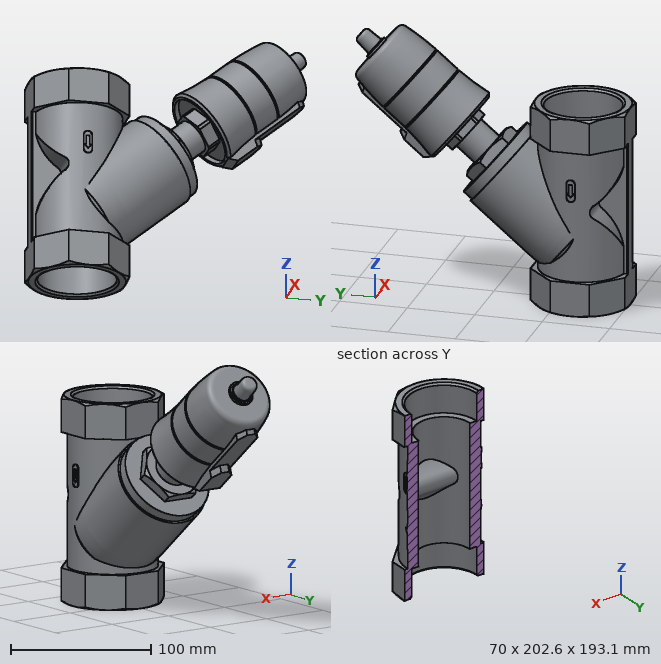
import cadquery as cq
import math

JOIN_OVERLAP = 1.0

ARC_MIDDLE = math.sqrt(0.5)

BODY_LENGTH = 150.0
BODY_RADIUS = 32.5
NUT_ACROSS_FLATS = 70.0
NUT_LENGTH = 25.6
NUT_SIDES = 8
NUT_CHAMFER_RADIUS = 34.8
CHAMFER_ANGLE = math.radians(30)
BORE_RADIUS = 22.5
THREAD_RADIUS = 56.66 / 2
THREAD_DEPTH = 24.0
THREAD_CHAMFER = 1.6

RIB_WIDTH = 12.6
RIB_CHAMFER = 1.0
NOTCH_WALL = 2.6
NOTCH_TOP = (-31.9, 32.8)
NOTCH_TOP_MIDDLE = (-25.0, 17.3)
NOTCH_TOP_INNER = (-15.7, 8.2)
NOTCH_FLOOR = -13.0
NOTCH_BOTTOM_INNER = (-14.9, -0.6)
NOTCH_BOTTOM_MIDDLE = (-25.3, -12.0)
NOTCH_BOTTOM = (-31.9, -29.0)

PAD_WIDTH = 6.3
PAD_LENGTH = 16.7
PAD_HEIGHT_Z = 19.7
PAD_FACE = 33.1
ARROW_DEPTH = 0.3
ARROW_LENGTH = 9.6
ARROW_SHAFT_WIDTH = 2.4
ARROW_HEAD_WIDTH = 5.4
ARROW_HEAD_LENGTH = 3.0

AXIS_CROSSING_Z = -27.6
AXIS_ELEVATION = 40.0

BONNET_RADIUS = 35.0
BONNET_END = 2.4
BONNET_END_RADIUS = 31.8
BONNET_SHOULDER = 5.5
BONNET_SHOULDER_RADIUS = 33.8
BONNET_CURVE_RADIUS = 34.65
BONNET_CURVE_START = 21.0
BONNET_TOP = 77.0
CAP_RADIUS = 33.5
CAP_TOP = 85.0
CAP_HEX_FLATS = 41.0
CAP_HEX_TOP = 93.0
SHAFT_RADIUS = 13.0
COLLAR_BOTTOM = 111.0
COLLAR_FLATS = 30.6
COLLAR_CORNER_RADIUS = 17.0
HEX_SIDES = 6

HOUSING_BOTTOM = 117.4
RIM_TOP = 119.3
RIM_RADIUS = 30.8
RIM_BOTTOM_RADIUS = 29.0
BAND_RADIUS = 28.0
LOWER_GROOVE = 146.4
UPPER_GROOVE = 167.6
GROOVE_WIDTH = 1.2
GROOVE_DEPTH = 0.4
SKIRT_SAG = 0.5
CROWN_BULGE = 0.5
CROWN_EDGE = 195.0
CROWN_EDGE_RADIUS = 25.5
HOUSING_TOP = 199.0
CROWN_FLAT_RADIUS = 20.8
RECESS_RADIUS = 27.0
RECESS_DEPTH = 4.0

INDICATOR_COLLAR_RADIUS = 18.2 / 2
INDICATOR_COLLAR_HEIGHT = 2.0
INDICATOR_STEP_RADIUS = 7.6
INDICATOR_STEP_HEIGHT = 2.6
INDICATOR_BASE_RADIUS = 6.8
INDICATOR_EDGE_RADIUS = 6.1
INDICATOR_EDGE = 212.5
INDICATOR_TOP = 215.2
INDICATOR_TOP_RADIUS = 3.2

PILOT_HALF_WIDTH = 9.0
PILOT_BLOCK_REACH = 34.3
PILOT_BLOCK_CORNER = 122.6
PILOT_BLOCK_FOOT_REACH = 28.9
PILOT_BLOCK_TOP = 146.9
PILOT_PLATE_REACH = 29.3
PILOT_PLATE_TOP = 191.6
PILOT_ROOT_REACH = 22.0
PILOT_END_SLOPE = 0.4
PILOT_CORNER_CUT = 5.5


def circumdiameter(across_flats, sides):
    return across_flats / math.cos(math.pi / sides)


def prism(sides, across_flats, bottom, top, turn=0.0):
    """Regular prism along Z; with no turn a corner points along X."""
    outline = cq.Workplane("XY").workplane(offset=bottom)
    outline = outline.polygon(sides, circumdiameter(across_flats, sides))
    return outline.extrude(top - bottom).rotate((0, 0, 0), (0, 0, 1), turn)


def cylinder(radius, bottom, top):
    return cq.Workplane("XY").workplane(offset=bottom).circle(radius).extrude(top - bottom)


def chamfer_cone(end_radius, outer_radius, bottom, top):
    """Round blank whose top edge is bevelled, used to break prism corners."""
    drop = (outer_radius - end_radius) * math.tan(CHAMFER_ANGLE)
    return (
        cq.Workplane("XZ")
        .moveTo(0, bottom)
        .lineTo(outer_radius, bottom)
        .lineTo(outer_radius, top - drop)
        .lineTo(end_radius, top)
        .lineTo(0, top)
        .close()
        .revolve(360, (0, 0), (0, 1))
    )


def chamfered_nut(sides, across_flats, end_radius, bottom, top, turn=0.0):
    corner_radius = circumdiameter(across_flats, sides) / 2
    blank = prism(sides, across_flats, bottom, top, turn)
    return blank.intersect(chamfer_cone(end_radius, corner_radius, bottom, top))


def notch_profile():
    """Closed notch outline in the YZ plane, open side beyond the body."""
    outside = -NUT_ACROSS_FLATS
    return (
        cq.Workplane("YZ")
        .workplane(offset=-NUT_ACROSS_FLATS)
        .moveTo(outside, NOTCH_TOP[1])
        .lineTo(*NOTCH_TOP)
        .threePointArc(NOTCH_TOP_MIDDLE, NOTCH_TOP_INNER)
        .tangentArcPoint(NOTCH_BOTTOM_INNER, relative=False)
        .threePointArc(NOTCH_BOTTOM_MIDDLE, NOTCH_BOTTOM)
        .lineTo(outside, NOTCH_BOTTOM[1])
        .close()
    )


def pipe_body():
    half = BODY_LENGTH / 2
    flat_turn = 180 / NUT_SIDES
    nut = chamfered_nut(
        NUT_SIDES, NUT_ACROSS_FLATS, NUT_CHAMFER_RADIUS, half - NUT_LENGTH, half, flat_turn
    )
    tube = cylinder(BODY_RADIUS, JOIN_OVERLAP - half, half - JOIN_OVERLAP)
    return tube.union(nut).union(nut.mirror("XY"))


def notch():
    """Notch cut across the full width of the body."""
    return notch_profile().extrude(2 * NUT_ACROSS_FLATS)


def rib():
    depth = NUT_ACROSS_FLATS / 2 + NOTCH_FLOOR
    length = BODY_LENGTH - 2 * NUT_LENGTH
    centre_y = -NUT_ACROSS_FLATS / 2 + depth / 2
    bar = cq.Workplane("XY").box(RIB_WIDTH, depth, length)
    bar = bar.faces("<Y").edges("|Z").chamfer(RIB_CHAMFER)
    return bar.translate((0, centre_y, 0))


def flow_pads():
    """Oval pad on each side with an engraved arrow pointing down the pipe."""
    pad = (
        cq.Workplane("YZ", origin=(-PAD_FACE, 0, PAD_HEIGHT_Z))
        .slot2D(PAD_LENGTH, PAD_WIDTH, 90)
        .extrude(PAD_FACE - BORE_RADIUS - NOTCH_WALL)
    )
    half_arrow = ARROW_LENGTH / 2
    neck = -half_arrow + ARROW_HEAD_LENGTH
    arrow = (
        cq.Workplane("YZ", origin=(-PAD_FACE, 0, PAD_HEIGHT_Z))
        .moveTo(-ARROW_SHAFT_WIDTH / 2, half_arrow)
        .lineTo(ARROW_SHAFT_WIDTH / 2, half_arrow)
        .lineTo(ARROW_SHAFT_WIDTH / 2, neck)
        .lineTo(ARROW_HEAD_WIDTH / 2, neck)
        .lineTo(0, -half_arrow)
        .lineTo(-ARROW_HEAD_WIDTH / 2, neck)
        .lineTo(-ARROW_SHAFT_WIDTH / 2, neck)
        .close()
        .extrude(ARROW_DEPTH)
    )
    pad = pad.cut(arrow)
    return pad.union(pad.mirror("YZ"))


def thread_bore():
    """Counterbore for the pipe thread at the +Z end, with a lead-in chamfer."""
    half = BODY_LENGTH / 2
    hole = cylinder(THREAD_RADIUS, half - THREAD_DEPTH, half)
    lead_in = cq.Solid.makeCone(
        THREAD_RADIUS,
        THREAD_RADIUS + THREAD_CHAMFER,
        THREAD_CHAMFER,
        cq.Vector(0, 0, half - THREAD_CHAMFER),
    )
    return hole.union(cq.Workplane(lead_in))


def flow_passage():
    """Through bore that leaves a wall of even thickness around the notch."""
    half = BODY_LENGTH / 2
    notch_shell = notch_profile().offset2D(NOTCH_WALL).extrude(2 * NUT_ACROSS_FLATS)
    bore = cylinder(BORE_RADIUS, -half, half).cut(notch_shell)
    thread = thread_bore()
    return bore.union(thread).union(thread.mirror("XY"))


def bonnet():
    """Round branch, its cap and the shaft, along local Z."""
    collar_top = HOUSING_BOTTOM + RECESS_DEPTH + JOIN_OVERLAP
    curve_middle = (BONNET_CURVE_RADIUS, (BONNET_CURVE_START + BONNET_SHOULDER) / 2)
    turned = (
        cq.Workplane("XZ")
        .moveTo(0, BONNET_END)
        .lineTo(BONNET_END_RADIUS, BONNET_END)
        .lineTo(BONNET_SHOULDER_RADIUS, BONNET_SHOULDER)
        .threePointArc(curve_middle, (BONNET_RADIUS, BONNET_CURVE_START))
        .lineTo(BONNET_RADIUS, BONNET_TOP)
        .lineTo(CAP_RADIUS, BONNET_TOP)
        .lineTo(CAP_RADIUS, CAP_TOP)
        .lineTo(SHAFT_RADIUS, CAP_TOP)
        .lineTo(SHAFT_RADIUS, collar_top)
        .lineTo(0, collar_top)
        .close()
        .revolve(360, (0, 0), (0, 1))
    )
    cap_hex = chamfered_nut(HEX_SIDES, CAP_HEX_FLATS, CAP_HEX_FLATS / 2, CAP_TOP, CAP_HEX_TOP)
    collar = prism(HEX_SIDES, COLLAR_FLATS, COLLAR_BOTTOM, collar_top)
    collar = collar.intersect(cylinder(COLLAR_CORNER_RADIUS, COLLAR_BOTTOM, collar_top))
    return turned.union(cap_hex).union(collar)


def ring_groove(station):
    bottom = station - GROOVE_WIDTH / 2
    top = station + GROOVE_WIDTH / 2
    outer = cylinder(RIM_RADIUS, bottom, top)
    return outer.cut(cylinder(BAND_RADIUS - GROOVE_DEPTH, bottom, top))


def housing():
    """Actuator housing: flared skirt, straight band and domed crown."""
    skirt_middle = (
        (RIM_RADIUS + BAND_RADIUS) / 2 - SKIRT_SAG,
        (RIM_TOP + LOWER_GROOVE) / 2,
    )
    crown_middle = (
        (BAND_RADIUS + CROWN_EDGE_RADIUS) / 2 + CROWN_BULGE,
        (UPPER_GROOVE + CROWN_EDGE) / 2,
    )
    edge_rise = HOUSING_TOP - CROWN_EDGE
    edge_run = CROWN_EDGE_RADIUS - CROWN_FLAT_RADIUS
    edge_middle = (
        CROWN_FLAT_RADIUS + edge_run * ARC_MIDDLE,
        CROWN_EDGE + edge_rise * ARC_MIDDLE,
    )
    shell = (
        cq.Workplane("XZ")
        .moveTo(0, HOUSING_BOTTOM)
        .lineTo(RIM_BOTTOM_RADIUS, HOUSING_BOTTOM)
        .lineTo(RIM_RADIUS, RIM_TOP)
        .threePointArc(skirt_middle, (BAND_RADIUS, LOWER_GROOVE))
        .lineTo(BAND_RADIUS, UPPER_GROOVE)
        .threePointArc(crown_middle, (CROWN_EDGE_RADIUS, CROWN_EDGE))
        .threePointArc(edge_middle, (CROWN_FLAT_RADIUS, HOUSING_TOP))
        .lineTo(0, HOUSING_TOP)
        .close()
        .revolve(360, (0, 0), (0, 1))
    )
    for station in (LOWER_GROOVE, UPPER_GROOVE):
        shell = shell.cut(ring_groove(station))
    return shell


def underside_recess():
    return cylinder(RECESS_RADIUS, HOUSING_BOTTOM, HOUSING_BOTTOM + RECESS_DEPTH)


def indicator():
    """Tapered indicator pin with a rounded top on a two-step collar."""
    collar_top = HOUSING_TOP + INDICATOR_COLLAR_HEIGHT
    step_top = HOUSING_TOP + INDICATOR_STEP_HEIGHT
    round_middle = (
        INDICATOR_TOP_RADIUS + (INDICATOR_EDGE_RADIUS - INDICATOR_TOP_RADIUS) * ARC_MIDDLE,
        INDICATOR_EDGE + (INDICATOR_TOP - INDICATOR_EDGE) * ARC_MIDDLE,
    )
    return (
        cq.Workplane("XZ")
        .moveTo(0, HOUSING_TOP - JOIN_OVERLAP)
        .lineTo(INDICATOR_COLLAR_RADIUS, HOUSING_TOP - JOIN_OVERLAP)
        .lineTo(INDICATOR_COLLAR_RADIUS, collar_top)
        .lineTo(INDICATOR_STEP_RADIUS, collar_top)
        .lineTo(INDICATOR_STEP_RADIUS, step_top)
        .lineTo(INDICATOR_BASE_RADIUS, step_top)
        .lineTo(INDICATOR_EDGE_RADIUS, INDICATOR_EDGE)
        .threePointArc(round_middle, (INDICATOR_TOP_RADIUS, INDICATOR_TOP))
        .lineTo(0, INDICATOR_TOP)
        .close()
        .revolve(360, (0, 0), (0, 1))
    )


def pilot_step(foot, reach, top):
    """Pad from local +Y root to its reach, with sloped end and cut top corners."""
    root_top = top + (reach - PILOT_ROOT_REACH) * PILOT_END_SLOPE
    root_bottom = foot[0][1]
    outline = [(PILOT_ROOT_REACH, root_bottom)] + foot
    outline += [(reach, top), (PILOT_ROOT_REACH, root_top)]
    side = (
        cq.Workplane("YZ")
        .polyline(outline)
        .close()
        .extrude(PILOT_HALF_WIDTH, both=True)
    )
    return side.faces(">Z").edges("not |X").chamfer(PILOT_CORNER_CUT)


def pilot_pad():
    block_foot = [
        (PILOT_BLOCK_FOOT_REACH, HOUSING_BOTTOM),
        (PILOT_BLOCK_REACH, PILOT_BLOCK_CORNER),
    ]
    plate_foot = [(PILOT_PLATE_REACH, PILOT_BLOCK_CORNER)]
    block = pilot_step(block_foot, PILOT_BLOCK_REACH, PILOT_BLOCK_TOP)
    plate = pilot_step(plate_foot, PILOT_PLATE_REACH, PILOT_PLATE_TOP)
    return block.union(plate)


def branch():
    """Everything on the inclined axis, moved from local Z to its place."""
    actuator = housing().union(pilot_pad()).cut(underside_recess())
    upright = bonnet().union(actuator).union(indicator())
    leaning = upright.rotate((0, 0, 0), (1, 0, 0), AXIS_ELEVATION - 90)
    return leaning.translate((0, 0, AXIS_CROSSING_Z))


result = pipe_body().union(branch()).cut(notch())
result = result.union(rib()).union(flow_pads()).cut(flow_passage())